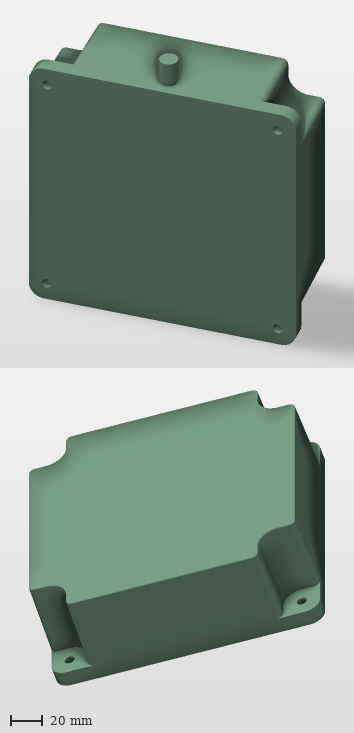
import cadquery as cq
import math

flange_side = 177.0
flange_thickness = 10.5
flange_corner_radius = 10.0
screw_offset = 76.5
screw_hole_diameter = 6.5

total_depth = 60.5
draft_angle = 1.0
relief_radius = 12.5
housing_corner_radius = 4.0
back_edge_radius = 0.8

pin_diameter = 12.0
pin_neck_diameter = 10.7
pin_neck_height = 2.1
pin_top_height = 194 - flange_side
pin_setback = 12.5

half_side = flange_side / 2
housing_depth = total_depth - flange_thickness


def make_flange():
    """Rounded square plate with a screw hole near each corner."""
    plate = cq.Workplane("XZ").rect(flange_side, flange_side).extrude(-flange_thickness)
    plate = plate.edges("|Y").fillet(flange_corner_radius)
    holes = (
        cq.Workplane("XZ")
        .rect(2 * screw_offset, 2 * screw_offset, forConstruction=True)
        .vertices()
        .circle(screw_hole_diameter / 2)
        .extrude(-flange_thickness)
    )
    return plate.cut(holes)


def housing_outline(inset):
    """Housing cross-section, with every wall moved inward by the inset."""
    wall = half_side - inset
    reach = relief_radius + inset
    step = screw_offset - reach
    arc_middle = screw_offset - reach * math.sqrt(0.5)
    corner = housing_corner_radius
    corner_middle = corner * (1 - math.sqrt(0.5))

    points = [
        (step - corner, wall),
        (step - corner_middle, wall - corner_middle),
        (step, wall - corner),
        (step, screw_offset),
        (arc_middle, arc_middle),
        (screw_offset, step),
        (wall - corner, step),
        (wall - corner_middle, step - corner_middle),
        (wall, step - corner),
    ]

    def turned(point, quarter_turns):
        x, z = point
        for _ in range(quarter_turns):
            x, z = z, -x
        return (x, z)

    plane_depth = flange_thickness + inset / math.tan(math.radians(draft_angle))
    outline = cq.Workplane("XZ", origin=(0, plane_depth, 0)).moveTo(*points[0])
    for quarter in range(4):
        p = [turned(point, quarter) for point in points]
        if quarter > 0:
            outline = outline.lineTo(*p[0])
        outline = outline.threePointArc(p[1], p[2]).lineTo(*p[3])
        outline = outline.threePointArc(p[4], p[5]).lineTo(*p[6])
        outline = outline.threePointArc(p[7], p[8])
    return outline.close().val()


def make_housing():
    """Housing narrowing towards the back, with a rounded back edge."""
    back_inset = housing_depth * math.tan(math.radians(draft_angle))
    outlines = [housing_outline(0), housing_outline(back_inset)]
    housing = cq.Workplane(cq.Solid.makeLoft(outlines, True))
    return housing.faces(">Y").edges().fillet(back_edge_radius)


def make_pin():
    """Round pin on a slightly narrower neck rooted inside the body."""
    root_depth = pin_diameter
    neck = (
        cq.Workplane("XY", origin=(0, pin_setback, half_side - root_depth))
        .circle(pin_neck_diameter / 2)
        .extrude(root_depth + pin_neck_height)
    )
    head = (
        cq.Workplane("XY", origin=(0, pin_setback, half_side + pin_neck_height))
        .circle(pin_diameter / 2)
        .extrude(pin_top_height - pin_neck_height)
    )
    return neck.union(head)


result = make_flange().union(make_housing()).union(make_pin())